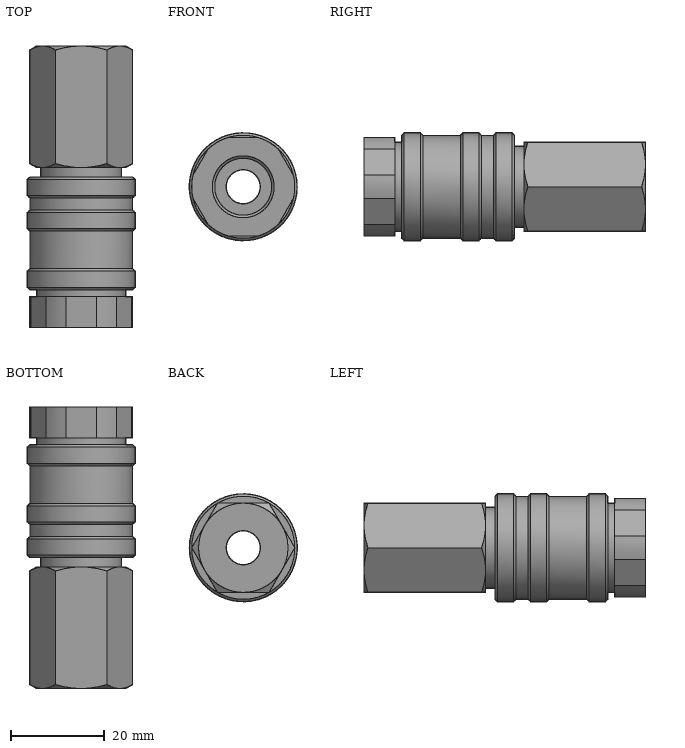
import cadquery as cq
import math

total_length = 60.0

nut_length = 6.6
nut_flat_to_flat = 21.0
nut_radius = 11.0

sleeve_start = 8.05
sleeve_end = 32.1
sleeve_radius = 11.0
ring_radius = 11.5
ring_width = 4.5
ring_chamfer = 0.55
middle_ring_start = 20.5
ring_starts = [sleeve_start, middle_ring_start, sleeve_end - ring_width]

front_neck_radius = 9.55
rear_neck_radius = 8.65

hex_start = 34.1
hex_flat_to_flat = 19.0
hex_bevel_angle = 30.0

mouth_radius = 6.05
mouth_depth = 20.0
mouth_chamfer = 0.55
through_radius = 3.6


def section_plane(y):
    """Sketch plane across the axis at the given Y, facing +Y."""
    return cq.Workplane(cq.Plane(origin=(0, y, 0), xDir=(1, 0, 0), normal=(0, 1, 0)))


def cylinder(start, end, radius):
    return section_plane(start).circle(radius).extrude(end - start)


def hexagonal_bar(start, end, flat_to_flat):
    """Hexagonal bar with corners on +X and -X."""
    corner_diameter = flat_to_flat / math.cos(math.radians(30))
    return section_plane(start).polygon(6, corner_diameter).extrude(end - start)


def revolve_profile(points):
    """Revolve a closed outline of (radius, Y) points around the Y axis."""
    return cq.Workplane("XY").polyline(points).close().revolve(360, (0, 0, 0), (0, 1, 0))


def front_nut():
    bar = hexagonal_bar(0, nut_length, nut_flat_to_flat)
    return bar.intersect(cylinder(0, nut_length, nut_radius))


def grip_ring(start):
    return cylinder(start, start + ring_width, ring_radius).edges("%CIRCLE").chamfer(ring_chamfer)


def rear_hexagon():
    bar = hexagonal_bar(hex_start, total_length, hex_flat_to_flat)
    end_radius = hex_flat_to_flat / 2
    corner_radius = end_radius / math.cos(math.radians(30))
    bevel_length = (corner_radius - end_radius) * math.tan(math.radians(hex_bevel_angle))
    envelope = revolve_profile([
        (0, hex_start),
        (end_radius, hex_start),
        (corner_radius, hex_start + bevel_length),
        (corner_radius, total_length - bevel_length),
        (end_radius, total_length),
        (0, total_length),
    ])
    return bar.intersect(envelope)


def stepped_bore():
    return revolve_profile([
        (0, 0),
        (mouth_radius + mouth_chamfer, 0),
        (mouth_radius, mouth_chamfer),
        (mouth_radius, mouth_depth),
        (through_radius, mouth_depth),
        (through_radius, total_length),
        (0, total_length),
    ])


body = front_nut()
body = body.union(cylinder(nut_length, sleeve_start, front_neck_radius))
sleeve = cylinder(sleeve_start + ring_chamfer, sleeve_end - ring_chamfer, sleeve_radius)
for ring_start in ring_starts:
    sleeve = sleeve.union(grip_ring(ring_start))
body = body.union(sleeve)
body = body.union(cylinder(sleeve_end, hex_start, rear_neck_radius))
body = body.union(rear_hexagon())
result = body.cut(stepped_bore())